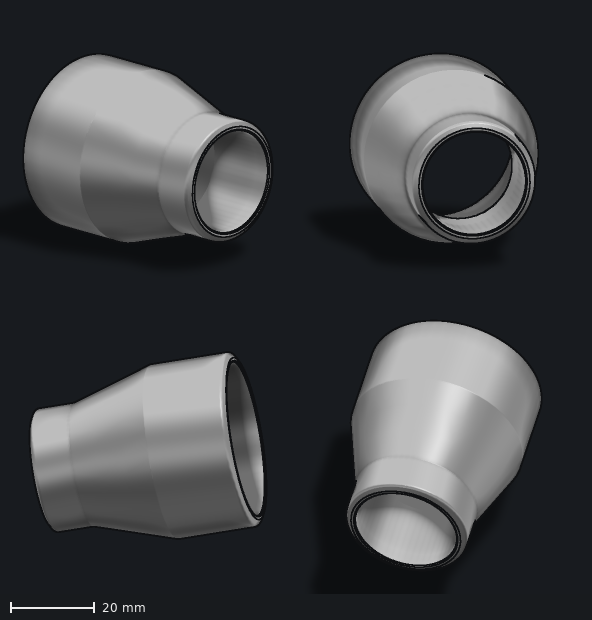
import cadquery as cq
import math

length = 50.0
large_outer_radius = 42.4 / 2
large_bore_radius = 37.2 / 2
small_outer_radius = 30.0 / 2
small_bore_radius = 25.0 / 2
outer_cone_start = 20.0
bore_cone_start = 12.0
cone_length = 20.0
outer_cone_end = outer_cone_start + cone_length
bore_cone_end = bore_cone_start + cone_length

land_width = 1.0
bevel_angle = 29.0
bevel_round = 1.0
bore_edge_break = 0.3
cone_round = 1.0


def bevel_depth(outer_radius, bore_radius):
    """Axial depth of the bevel where it would meet the outer cylinder."""
    bevel_height = outer_radius - bore_radius - land_width
    return bevel_height * math.tan(math.radians(bevel_angle))


def revolve_about_x(points):
    """Solid of revolution about X from (x, radius) points in the XZ plane."""
    return cq.Workplane("XZ").polyline(points).close().revolve(360, (0, 0, 0), (1, 0, 0))


def circle_at(x, radius):
    """Box selector holding only the circular edge of this radius at this X."""
    margin = 0.05
    reach = radius + margin
    return cq.selectors.BoxSelector(
        (x - margin, -reach, -reach), (x + margin, reach, reach), boundingbox=True
    )


large_bevel_end = bevel_depth(large_outer_radius, large_bore_radius)
small_bevel_start = length - bevel_depth(small_outer_radius, small_bore_radius)


def make_outer_body():
    """Solid reducer body with its bevels and rounds, before boring."""
    body = revolve_about_x([
        (0, 0),
        (0, large_bore_radius + land_width),
        (large_bevel_end, large_outer_radius),
        (outer_cone_start, large_outer_radius),
        (outer_cone_end, small_outer_radius),
        (small_bevel_start, small_outer_radius),
        (length, small_bore_radius + land_width),
        (length, 0),
    ])
    rounded_edges = [
        (large_bevel_end, large_outer_radius, bevel_round),
        (outer_cone_start, large_outer_radius, cone_round),
        (outer_cone_end, small_outer_radius, cone_round),
        (small_bevel_start, small_outer_radius, bevel_round),
    ]
    for x, radius, edge_round in rounded_edges:
        body = body.edges(circle_at(x, radius)).fillet(edge_round)
    return body


def make_bore():
    """Through bore: large cylinder, cone and small cylinder, flared at both mouths."""
    return revolve_about_x([
        (0, 0),
        (0, large_bore_radius + bore_edge_break),
        (bore_edge_break, large_bore_radius),
        (bore_cone_start, large_bore_radius),
        (bore_cone_end, small_bore_radius),
        (length - bore_edge_break, small_bore_radius),
        (length, small_bore_radius + bore_edge_break),
        (length, 0),
    ])


result = make_outer_body().cut(make_bore())